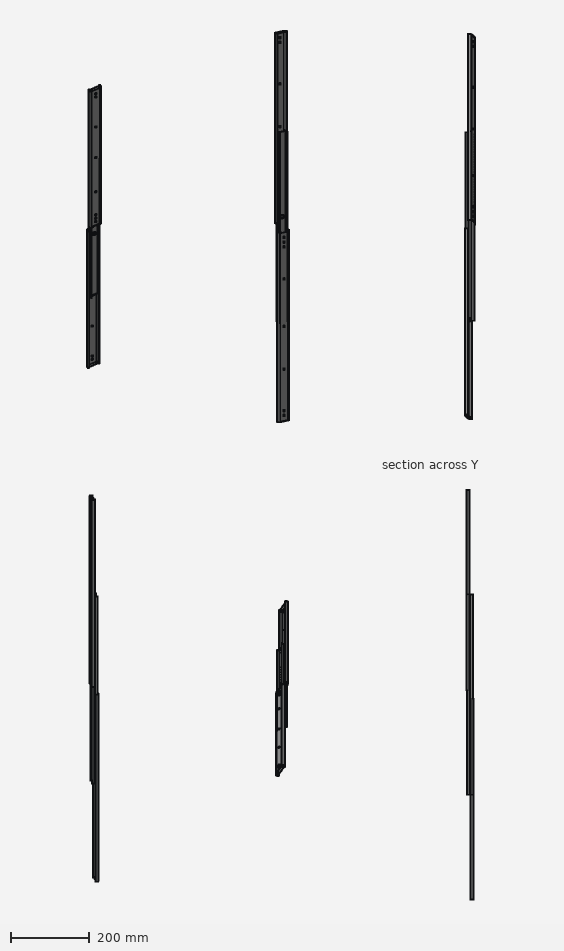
import cadquery as cq
import math


SLIDE_THICKNESS = 19.2
SLIDE_HEIGHT = 35.3
EXTENDED_LENGTH = 1037.5
RAIL_LENGTH = 508.0
SHEET = 1.2

OUTER_STEP = EXTENDED_LENGTH - RAIL_LENGTH
INNER_START = OUTER_STEP / 2

RUNNING_GAP = 0.2
OUTER_DEPTH = (SLIDE_THICKNESS - RUNNING_GAP) / 2
OUTER_HALF_HEIGHT = SLIDE_HEIGHT / 2
WEB_HALF_HEIGHT = 12.2
SHOULDER_SLOPE = 22.0
FLANGE_LEAN = 4.5
SHOULDER_RADIUS = 1.5
LIP_RADIUS = 2.0
MOUTH_HALF_HEIGHT = 13.5

HOLE_DIAMETER = 4.6
HOLE_PITCH = 12.7
END_MARGIN = 15.9
STOPPED_END_HOLES = [END_MARGIN + i * HOLE_PITCH for i in range(2)]
MIDDLE_HOLES = [139.7, 254.0, 381.0]
OPEN_END_HOLES = [RAIL_LENGTH - END_MARGIN - i * HOLE_PITCH for i in range(3)]
TAB_HALF_WIDTH = 10.5
TAB_FREE_EDGE = 2.0
NOTCH_HALF_WIDTH = 8.5
NOTCH_DEPTH = 2.5

INNER_DEPTH = 7.8
INNER_HALF_HEIGHT = 11.9
RACE_START = 4.7
SIDE_TAPER = 8.0
INNER_BEND_RADIUS = 0.4
ACCESS_DIAMETER = 10.0


def slope(degrees):
    return math.tan(math.radians(degrees))


def mirrored(half):
    """Points of a half outline followed by their mirror image across Y = 0."""
    return half + [(x, -y) for x, y in reversed(half)]


def inside_of(bar):
    """Bar that leaves one sheet thickness all round when cut from `bar`."""
    return bar.faces("<Z").wires().toPending().offset2D(-SHEET).extrude(RAIL_LENGTH, combine=False)


def cross_holes(heights, diameter):
    """Cylinders along X at the given heights."""
    return (
        cq.Workplane("YZ")
        .pushPoints([(0, z) for z in heights])
        .circle(diameter / 2)
        .extrude(SLIDE_THICKNESS, both=True)
    )


def outer_outline():
    """Closed outline of the outer rail, mouth on X = 0 and web at -X, corners still sharp."""
    lean = math.radians(FLANGE_LEAN)
    touch_x = LIP_RADIUS * (1 + math.sin(lean))
    touch_y = OUTER_HALF_HEIGHT - LIP_RADIUS * (1 - math.cos(lean))
    lip_y = touch_y + touch_x * math.tan(lean)
    shoulder_rise = (lip_y - WEB_HALF_HEIGHT - OUTER_DEPTH * math.tan(lean)) / (
        1 - slope(SHOULDER_SLOPE) * math.tan(lean)
    )
    shoulder_x = OUTER_DEPTH - shoulder_rise * slope(SHOULDER_SLOPE)
    shoulder_y = WEB_HALF_HEIGHT + shoulder_rise
    half = [(0, lip_y), (-shoulder_x, shoulder_y), (-OUTER_DEPTH, WEB_HALF_HEIGHT)]
    return cq.Workplane("XY").polyline(mirrored(half)).close()


def outer_rail():
    """Outer rail with its web at -X and its stopped end at Z = 0."""
    block = outer_outline().extrude(RAIL_LENGTH)
    block = block.edges("|Z and >X").fillet(LIP_RADIUS)
    shoulders = cq.selectors.BoxSelector(
        (-OUTER_DEPTH + SHEET / 2, -SLIDE_HEIGHT, 0),
        (-OUTER_DEPTH / 2, SLIDE_HEIGHT, RAIL_LENGTH),
    )
    block = block.edges("|Z").edges(shoulders).fillet(SHOULDER_RADIUS)
    mouth = cq.Workplane("XY").box(
        2 * SHEET, 2 * MOUTH_HALF_HEIGHT, RAIL_LENGTH, centered=(True, True, False)
    )
    rail = block.cut(inside_of(block)).cut(mouth)

    tab_root = OUTER_DEPTH - SHEET / 2
    tab = cq.Workplane("XY").box(
        tab_root - TAB_FREE_EDGE, 2 * TAB_HALF_WIDTH, SHEET, centered=(False, True, False)
    )
    rail = rail.union(tab.translate((-tab_root, 0, 0)))

    notch = cq.Workplane("XY").box(2 * SHEET, 2 * NOTCH_HALF_WIDTH, 2 * NOTCH_DEPTH)
    rail = rail.cut(notch.translate((-OUTER_DEPTH, 0, RAIL_LENGTH)))

    hole_heights = STOPPED_END_HOLES + MIDDLE_HOLES + OPEN_END_HOLES
    return rail.cut(cross_holes(hole_heights, HOLE_DIAMETER)).translate((-RUNNING_GAP / 2, 0, 0))


def inner_block(depth):
    """Solid bar with the inner rail's outer shape, its back on X = 0, reaching `depth` towards -X."""
    back_half_height = INNER_HALF_HEIGHT - RACE_START * slope(SIDE_TAPER)
    half = [(0, back_half_height), (-RACE_START, INNER_HALF_HEIGHT), (-depth, INNER_HALF_HEIGHT)]
    bar = cq.Workplane("XY").polyline(mirrored(half)).close().extrude(RAIL_LENGTH)
    return bar.edges("|Z and >X").fillet(INNER_BEND_RADIUS)


def inner_rail():
    """Inner rail, a channel with its back on X = 0 and open towards -X."""
    hollow = inside_of(inner_block(INNER_DEPTH + SHEET))
    rail = inner_block(INNER_DEPTH).cut(hollow).translate((0, 0, INNER_START))

    end_hole = OPEN_END_HOLES[0]
    return rail.cut(cross_holes([end_hole, EXTENDED_LENGTH - end_hole], ACCESS_DIAMETER))


def turned(rail):
    """The same rail turned half round about the Y axis through the middle of the slide."""
    return rail.rotate((0, 0, EXTENDED_LENGTH / 2), (0, 1, EXTENDED_LENGTH / 2), 180)


outer_rails = [outer_rail(), turned(outer_rail())]
inner_rails = [inner_rail(), turned(inner_rail())]

result = cq.Compound.makeCompound([rail.val() for rail in outer_rails + inner_rails])